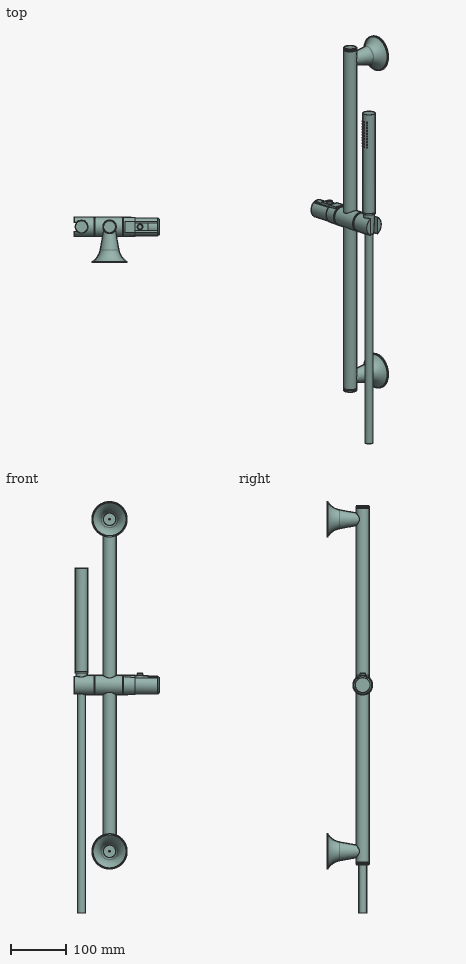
import cadquery as cq
import math


total_height = 748.0
cutter_margin = 7.5

rail_diameter = 25.0
rail_radius = rail_diameter / 2
rail_overhang = 25.0
cap_height = 4.0
cap_seam_width = 1.5
cap_seam_depth = 1.0
cap_chamfer = 1.5

mount_spacing = 604.0
mount_radius = 32.0
upper_mount_z = total_height - mount_radius
lower_mount_z = upper_mount_z - mount_spacing
wall_y = -65.0
rim_thickness = 2.0
flare_start_y = -42.0
flare_start_radius = 17.0
flare_end_radius = 31.0
flare_bend_y = -54.5
flare_bend_radius = 22.5
horn_tip_radius = 10.0
horn_wall = 2.0
horn_floor_y = -34.5
horn_floor_radius = 11.0
screw_hole_radius = 1.5
screw_hole_depth = 4.0

slider_z = 414.5
slider_radius = 18.0
slider_left_x = -64.0
barrel_end_x = 25.5
collar_end_radius = 17.0
collar_end_x = 46.5
knob_radius = 16.5
knob_end_x = 90.5
knob_chamfer = 3.0
groove_depth = 1.1
groove_width = 2.0
head_groove_x = -28.5
knob_groove_x = barrel_end_x - groove_width

key_width = 20.0
pad_start_x = 28.5
pad_height = 18.0
ridge_width = 13.5
ridge_height = 17.0
ridge_end_x = 70.0
shelf_height = 13.0
shelf_end_x = 87.0
button_x = 55.0
button_radius = 5.0
button_height = 22.0
button_chamfer = 1.1

shower_x = -51.0
shower_diameter = 23.0
shower_radius = shower_diameter / 2
shower_top_z = 627.0
nut_top_z = 439.0
nozzle_radius = 1.1
nozzle_height = 1.0
nozzle_rows = 10
nozzle_first_z = 565.0
nozzle_pitch = 5.0
nozzle_angles = (60, 90, 120)

nut_collar_height = 3.0
nut_top_radius = 10.5
nut_bottom_radius = 9.0
hose_radius = 7.5
slot_width = 16.5
nut_bottom_z = slider_z - math.sqrt(slider_radius ** 2 - (slot_width / 2) ** 2)


def upright_cylinder(x, bottom_z, top_z, radius):
    return cq.Workplane("XY", origin=(x, 0, bottom_z)).circle(radius).extrude(top_z - bottom_z)


def upright_ring(x, bottom_z, height, outer_radius, inner_radius):
    return (
        cq.Workplane("XY", origin=(x, 0, bottom_z))
        .circle(outer_radius)
        .circle(inner_radius)
        .extrude(height)
    )


def slider_cylinder(start_x, end_x, radius):
    return cq.Workplane("YZ", origin=(start_x, 0, slider_z)).circle(radius).extrude(end_x - start_x)


def key_block(start_x, end_x, width, height):
    """Block that rises from the slider axis to the given height."""
    return cq.Workplane("XY").box(end_x - start_x, width, height, centered=(False, True, False)).translate(
        (start_x, 0, slider_z)
    )


def horn():
    """Solid outside of a wall mount, on the plane Z = 0."""
    return (
        cq.Workplane("XY")
        .moveTo(0, 0)
        .lineTo(horn_tip_radius, 0)
        .lineTo(flare_start_radius, flare_start_y)
        .threePointArc((flare_bend_radius, flare_bend_y), (flare_end_radius, wall_y + rim_thickness))
        .lineTo(mount_radius, wall_y + rim_thickness)
        .lineTo(mount_radius, wall_y)
        .lineTo(0, wall_y)
        .close()
        .revolve(360, (0, 0, 0), (0, 1, 0))
    )


def horn_hollow():
    """Flared cavity of a wall mount with a blind screw hole in its floor."""
    cavity = (
        cq.Workplane("XY")
        .moveTo(0, horn_floor_y)
        .lineTo(horn_floor_radius, horn_floor_y)
        .lineTo(flare_start_radius - horn_wall, flare_start_y)
        .threePointArc((flare_bend_radius - horn_wall, flare_bend_y), (mount_radius - horn_wall, wall_y))
        .lineTo(0, wall_y)
        .close()
        .revolve(360, (0, 0, 0), (0, 1, 0))
    )
    screw_hole = (
        cq.Workplane("XZ", origin=(0, horn_floor_y, 0)).circle(screw_hole_radius).extrude(-screw_hole_depth)
    )
    return cavity.union(screw_hole)


def make_rail():
    """Rail with end caps and its two wall mounts."""
    bottom_z = lower_mount_z - rail_overhang
    top_z = upper_mount_z + rail_overhang
    rail = upright_cylinder(0, bottom_z, top_z, rail_radius).faces("<Z or >Z").chamfer(cap_chamfer)
    for seam_z in (bottom_z + cap_height, top_z - cap_height - cap_seam_width):
        rail = rail.cut(
            upright_ring(0, seam_z, cap_seam_width, rail_radius + cutter_margin, rail_radius - cap_seam_depth)
        )
    for mount_z in (lower_mount_z, upper_mount_z):
        rail = rail.union(horn().translate((0, 0, mount_z)))
        rail = rail.cut(horn_hollow().translate((0, 0, mount_z)))
    return rail


def make_hose():
    """Hose with the conical nut that hangs in the slider."""
    collar_z = nut_top_z - nut_collar_height
    hose = upright_cylinder(shower_x, 0, nut_bottom_z, hose_radius)
    cone = (
        cq.Workplane("XY", origin=(shower_x, 0, nut_bottom_z))
        .circle(nut_bottom_radius)
        .workplane(offset=collar_z - nut_bottom_z)
        .circle(nut_top_radius)
        .loft(ruled=True)
    )
    collar = upright_cylinder(shower_x, collar_z, nut_top_z, shower_radius)
    return hose.union(cone).union(collar)


def make_shower():
    """Hand shower with a field of spray nozzles facing +Y."""
    shower = upright_cylinder(shower_x, nut_top_z, shower_top_z, shower_radius)
    nozzle = cq.Workplane("YZ").circle(nozzle_radius).extrude(shower_radius + nozzle_height)
    for angle in nozzle_angles:
        turned_nozzle = nozzle.rotate((0, 0, 0), (0, 0, 1), angle)
        for row in range(nozzle_rows):
            nozzle_z = nozzle_first_z + row * nozzle_pitch
            shower = shower.union(turned_nozzle.translate((shower_x, 0, nozzle_z)))
    return shower


def slider_groove(start_x):
    outside = slider_cylinder(start_x, start_x + groove_width, slider_radius + cutter_margin)
    return outside.cut(slider_cylinder(start_x, start_x + groove_width, slider_radius - groove_depth))


def knob_shelves():
    """Space above two flat shelves that leave a ridge standing between them."""
    across = key_block(collar_end_x, shelf_end_x, key_width, slider_radius)
    below = key_block(collar_end_x, shelf_end_x, key_width, shelf_height)
    ridge = key_block(collar_end_x, shelf_end_x, ridge_width, slider_radius)
    return across.cut(below).cut(ridge)


def make_slider(rail, hose):
    """Slider with passages for the rail and for the hose nut."""
    barrel = slider_cylinder(slider_left_x, barrel_end_x, slider_radius)
    collar = (
        cq.Workplane("YZ", origin=(barrel_end_x, 0, slider_z))
        .circle(slider_radius)
        .workplane(offset=collar_end_x - barrel_end_x)
        .circle(collar_end_radius)
        .loft(ruled=True)
    )
    knob = slider_cylinder(collar_end_x, knob_end_x, knob_radius).faces(">X").chamfer(knob_chamfer)
    button = upright_cylinder(button_x, slider_z, slider_z + button_height, button_radius)
    button = button.faces(">Z").chamfer(button_chamfer)
    slider = (
        barrel.cut(slider_groove(head_groove_x))
        .cut(slider_groove(knob_groove_x))
        .union(collar)
        .union(knob.cut(knob_shelves()))
        .union(key_block(pad_start_x, collar_end_x, key_width, pad_height))
        .union(key_block(collar_end_x, ridge_end_x, ridge_width, ridge_height))
        .union(button)
    )
    hose_slot = cq.Workplane("XY").box(
        shower_x - slider_left_x, slot_width, 2 * slider_radius, centered=(False, True, True)
    ).translate((slider_left_x, 0, slider_z))
    return slider.cut(hose_slot).cut(rail).cut(hose)


rail = make_rail()
hose = make_hose()
shower = make_shower()
slider = make_slider(rail, hose)

result = cq.Compound.makeCompound([rail.val(), slider.val(), shower.val(), hose.val()])